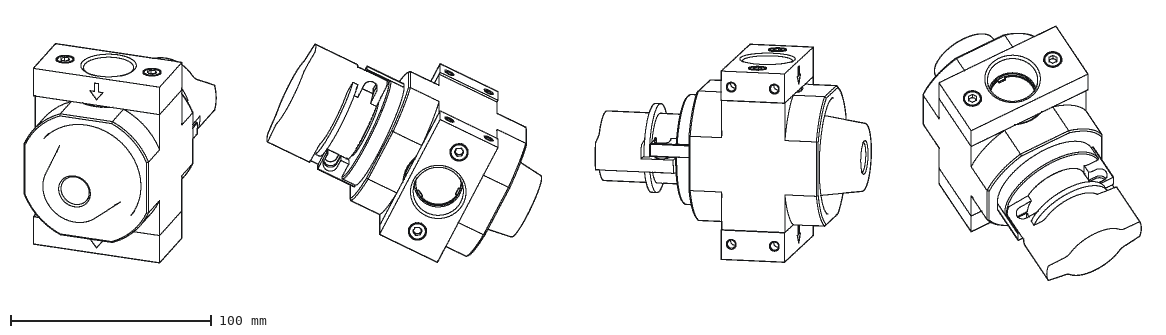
import cadquery as cq
import math


BODY_SIZE = 66.0
HALF_BODY = BODY_SIZE / 2
BODY_DIA = 71.6
BODY_CHAMFER = 0.8
BLOCK_WIDTH = 32.3
FLOW_DIA = 22.5

RECESS_DIA = 58.0
RECESS_DEPTH = 15.0
RECESS_MOUTH_FILLET = 1.0
RECESS_FLOOR_FILLET = 0.7
NOSE_TIP_Y = -49.5
NOSE_TIP_DIA = 34.0
NOSE_BASE_DIA = 42.7
NOSE_TIP_FILLET = 0.8
NOSE_FOOT_FILLET = 1.0
NOSE_HOLE_DIA = 15.0
NOSE_HOLE_DEPTH = 26.5
NOSE_HOLE_CHAMFER = 0.9

SEAT_DIA = 34.0
SEAT_DEPTH = 1.0
SEAT_CHAMFER = 0.7
TAB_COUNT = 3
TAB_WIDTH = 3.6
TAB_INNER_RADIUS = 10.5
TAB_HEIGHT = 1.3
TAB_FIRST_ANGLE = 30
TAB_ROOT_OVERLAP = 1.3

FLANGE_HEIGHT = 15.0
FLANGE_OVERHANG = 1.0
FLANGE_LENGTH = BODY_SIZE + FLANGE_OVERHANG
FLANGE_CENTRE_X = -FLANGE_OVERHANG / 2
FLANGE_TOP = HALF_BODY + FLANGE_HEIGHT
PORT_MOUTH_DIA = 27.7
PORT_TOP_DIA = 25.0
PORT_BOTTOM_DIA = 23.9
PORT_CHAMFER_DEPTH = 1.0
PORT_DEPTH = 13.5
SIDE_HOLE_DIA = 4.1
SIDE_HOLE_MOUTH_DIA = 5.0
SIDE_HOLE_DEPTH = 8.0
SIDE_HOLE_Y = 11.0
SIDE_HOLE_DROP = 8.0
DRILL_POINT_ANGLE = 118

ARROW_LENGTH = 8.9
ARROW_HEAD_LENGTH = 4.4
ARROW_HEAD_HALF_WIDTH = 3.5
ARROW_SHAFT_HALF_WIDTH = 1.13
ARROW_DEPTH = 0.1
ARROW_Z = 40.5

SCREW_X = 23.1
SCREW_DIA = 5.0
SCREW_CLEARANCE_DIA = 5.3
SCREW_DEPTH_IN_HOUSING = 10.6
COUNTERBORE_DIA = 9.0
HEAD_DIA = 8.5
HEAD_FACE_DIA = 8.0
HEAD_HEIGHT = 5.0
KNURL_TEETH = 36
KNURL_DEPTH = 0.2
SOCKET_FLATS = 4.0
SOCKET_DEPTH = 2.7

COLLAR_DIA = 55.0
COLLAR_TOP_Y = 41.0
COLLAR_CHAMFER = 0.7
ARM_END_Y = 53.5
ARM_INNER_X = 17.8
ARM_LOW_Z = 1.3
ARM_HIGH_Z = 8.1
ARM_EDGE_CHAMFER = 0.4
ARM_RIB_START_X = 20.5
ARM_RIB_HIGH_Z = 9.0
ARM_SLOT_WIDTH = 7.3
ARM_SLOT_END_X = 25.7
LOCK_Y = 49.0

KNOB_BOTTOM_Y = 42.2
KNOB_TOP_Y = 83.1
KNOB_DIA = 34.9
KNOB_DOME_RADIUS = 344.7
NECK_DIA = 30.0
WING_TIP_RADIUS = 27.2
WING_ROOT_HALF = 8.2
WING_ROOT_X = 17.4
WING_TIP_HALF = 6.8
WING_EDGE_FILLET = 0.5
WING_ROOT_FILLET = 4.0
WING_SLOT_WIDTH = 7.0
WING_SLOT_END_X = 25.3
RIM_DIA = 44.5
RIM_LOW_Y = 55.4
RIM_HIGH_Y = 58.2
RIM_CROWN_Y = 58.6


def y_cylinder(diameter, y_low, y_high):
    """Cylinder on the valve axis between two Y positions."""
    plane = cq.Workplane("XZ", origin=(0, y_high, 0))
    return plane.circle(diameter / 2).extrude(y_high - y_low)


def y_cone(low_diameter, high_diameter, y_low, y_high):
    """Cone frustum on the valve axis between two Y positions."""
    height = y_high - y_low
    base, axis = cq.Vector(0, y_low, 0), cq.Vector(0, 1, 0)
    return cq.Workplane(cq.Solid.makeCone(low_diameter / 2, high_diameter / 2, height, base, axis))


def z_cylinder(diameter, z_low, z_high, x=0):
    """Cylinder parallel to the flow axis between two Z positions."""
    plane = cq.Workplane("XY", origin=(x, 0, z_low))
    return plane.circle(diameter / 2).extrude(z_high - z_low)


def z_cone(low_diameter, high_diameter, z_low, z_high, x=0):
    """Cone frustum parallel to the flow axis between two Z positions."""
    height = z_high - z_low
    base, axis = cq.Vector(x, 0, z_low), cq.Vector(0, 0, 1)
    return cq.Workplane(cq.Solid.makeCone(low_diameter / 2, high_diameter / 2, height, base, axis))


def mirrored_down(body):
    return body.mirror("XY")


def turned_half(body):
    return body.rotate((0, 0, 0), (0, 1, 0), 180)


def make_nose():
    """Tapered nose with a rounded tip, standing on the recess floor."""
    floor_y = -HALF_BODY + RECESS_DEPTH
    nose = y_cone(NOSE_TIP_DIA, NOSE_BASE_DIA, NOSE_TIP_Y, floor_y)
    return nose.faces("<Y").edges().fillet(NOSE_TIP_FILLET)


def make_port_seat():
    """Chamfered shallow seat in the top flat of the housing."""
    floor_z = HALF_BODY - SEAT_DEPTH
    seat = z_cylinder(SEAT_DIA, floor_z, HALF_BODY)
    mouth_dia = SEAT_DIA + 2 * SEAT_CHAMFER
    return seat.union(z_cone(SEAT_DIA, mouth_dia, HALF_BODY - SEAT_CHAMFER, HALF_BODY))


def make_tabs():
    """Tabs on the wall of the flow bore, level with the seat floor."""
    top_z = HALF_BODY - SEAT_DEPTH
    length = FLOW_DIA / 2 - TAB_INNER_RADIUS + TAB_ROOT_OVERLAP
    centre = TAB_INNER_RADIUS + length / 2
    tabs = (
        cq.Workplane("XY", origin=(0, 0, top_z - TAB_HEIGHT))
        .polarArray(centre, TAB_FIRST_ANGLE, 360, TAB_COUNT)
        .rect(length, TAB_WIDTH)
        .extrude(TAB_HEIGHT)
    )
    return tabs


def make_housing():
    end = cq.Workplane("XZ", origin=(0, HALF_BODY, 0))
    flats = end.rect(BODY_SIZE, BODY_SIZE).extrude(BODY_SIZE)
    barrel = y_cylinder(BODY_DIA, -HALF_BODY, HALF_BODY).intersect(flats)
    barrel = barrel.faces("<Y or >Y").chamfer(BODY_CHAMFER)
    housing = barrel.union(cq.Workplane("XY").box(BODY_SIZE, BLOCK_WIDTH, BODY_SIZE))

    floor_y = -HALF_BODY + RECESS_DEPTH
    recess = y_cylinder(RECESS_DIA, -HALF_BODY, floor_y)
    recess = recess.faces(">Y").edges().fillet(RECESS_FLOOR_FILLET)
    smallest_circle = cq.selectors.RadiusNthSelector(0)
    housing = housing.cut(recess)
    housing = housing.faces("<Y").edges(smallest_circle).fillet(RECESS_MOUTH_FILLET)
    housing = housing.union(make_nose())
    floor_circles = cq.selectors.BoxSelector((-1.3, floor_y - 0.1, -1.3), (1.3, floor_y + 0.1, 1.3))
    housing = housing.edges(floor_circles).edges(smallest_circle).fillet(NOSE_FOOT_FILLET)

    hole_end = NOSE_TIP_Y + NOSE_HOLE_DEPTH
    hole_mouth = NOSE_HOLE_DIA + 2 * NOSE_HOLE_CHAMFER
    housing = housing.cut(y_cylinder(NOSE_HOLE_DIA, NOSE_TIP_Y, hole_end))
    housing = housing.cut(y_cone(hole_mouth, NOSE_HOLE_DIA, NOSE_TIP_Y, NOSE_TIP_Y + NOSE_HOLE_CHAMFER))

    housing = housing.cut(z_cylinder(FLOW_DIA, -HALF_BODY, HALF_BODY))
    seat = make_port_seat()
    tabs = make_tabs()
    housing = housing.cut(seat).cut(mirrored_down(seat))
    housing = housing.union(tabs).union(mirrored_down(tabs))
    for x in (-SCREW_X, SCREW_X):
        thread = z_cylinder(SCREW_DIA, HALF_BODY - SCREW_DEPTH_IN_HOUSING, HALF_BODY, x)
        housing = housing.cut(thread).cut(mirrored_down(thread))
    return housing


def make_side_hole(y):
    """Drilled hole with a countersunk mouth in the -X end of the upper flange."""
    x = FLANGE_CENTRE_X - FLANGE_LENGTH / 2
    radius = SIDE_HOLE_DIA / 2
    mouth_radius = SIDE_HOLE_MOUTH_DIA / 2
    point_depth = radius / math.tan(math.radians(DRILL_POINT_ANGLE / 2))
    profile = (
        cq.Workplane("XY")
        .moveTo(0, 0)
        .lineTo(0, mouth_radius)
        .lineTo(mouth_radius - radius, radius)
        .lineTo(SIDE_HOLE_DEPTH, radius)
        .lineTo(SIDE_HOLE_DEPTH + point_depth, 0)
        .close()
    )
    hole = profile.revolve(360, (0, 0, 0), (1, 0, 0))
    return hole.translate((x, y, FLANGE_TOP - SIDE_HOLE_DROP))


def make_arrow(centre_z):
    """Downward arrow cutter in the -Y flange face."""
    tail = ARROW_LENGTH / 2
    shoulder = ARROW_HEAD_LENGTH - tail
    plane = cq.Workplane("XZ", origin=(FLANGE_CENTRE_X, -BLOCK_WIDTH / 2, centre_z))
    outline = [
        (0, -tail),
        (ARROW_HEAD_HALF_WIDTH, shoulder),
        (ARROW_SHAFT_HALF_WIDTH, shoulder),
        (ARROW_SHAFT_HALF_WIDTH, tail),
        (-ARROW_SHAFT_HALF_WIDTH, tail),
        (-ARROW_SHAFT_HALF_WIDTH, shoulder),
        (-ARROW_HEAD_HALF_WIDTH, shoulder),
    ]
    return plane.polyline(outline).close().extrude(-ARROW_DEPTH)


def make_flange():
    """Upper port flange, without its arrow."""
    flange = cq.Workplane("XY", origin=(FLANGE_CENTRE_X, 0, HALF_BODY + FLANGE_HEIGHT / 2))
    flange = flange.box(FLANGE_LENGTH, BLOCK_WIDTH, FLANGE_HEIGHT)

    port_top = FLANGE_TOP - PORT_CHAMFER_DEPTH
    flange = flange.cut(z_cylinder(FLOW_DIA, HALF_BODY, FLANGE_TOP))
    flange = flange.cut(z_cone(PORT_BOTTOM_DIA, PORT_TOP_DIA, FLANGE_TOP - PORT_DEPTH, port_top))
    flange = flange.cut(z_cone(PORT_TOP_DIA, PORT_MOUTH_DIA, port_top, FLANGE_TOP))

    for x in (-SCREW_X, SCREW_X):
        flange = flange.cut(z_cylinder(SCREW_CLEARANCE_DIA, HALF_BODY, FLANGE_TOP, x))
        flange = flange.cut(z_cylinder(COUNTERBORE_DIA, FLANGE_TOP - HEAD_HEIGHT, FLANGE_TOP, x))
    for y in (-SIDE_HOLE_Y, SIDE_HOLE_Y):
        flange = flange.cut(make_side_hole(y))
    return flange


def make_screw(x):
    """Knurled socket head screw of the upper flange, its head flush with the flange."""
    seat_z = FLANGE_TOP - HEAD_HEIGHT
    outline = []
    for i in range(2 * KNURL_TEETH):
        radius = HEAD_DIA / 2 - KNURL_DEPTH * (i % 2)
        angle = math.pi * i / KNURL_TEETH
        outline.append((radius * math.cos(angle), radius * math.sin(angle)))
    head = cq.Workplane("XY", origin=(x, 0, seat_z)).polyline(outline).close().extrude(HEAD_HEIGHT)
    bevel = (HEAD_DIA - HEAD_FACE_DIA) / 2
    blank = z_cylinder(HEAD_DIA, seat_z, FLANGE_TOP, x).faces(">Z").chamfer(bevel)
    head = head.intersect(blank)

    socket_floor = FLANGE_TOP - SOCKET_DEPTH
    socket = cq.Workplane("XY", origin=(x, 0, socket_floor))
    socket_corners = SOCKET_FLATS / math.cos(math.pi / 6)
    socket = socket.polygon(6, socket_corners).extrude(SOCKET_DEPTH)
    point_depth = SOCKET_FLATS / 2 / math.tan(math.radians(DRILL_POINT_ANGLE / 2))
    point = z_cone(0, SOCKET_FLATS, socket_floor - point_depth, socket_floor, x)
    shank = z_cylinder(SCREW_DIA, HALF_BODY - SCREW_DEPTH_IN_HOUSING, seat_z, x)
    return head.union(shank).cut(socket).cut(point)


def make_lock_slot(width, end_x):
    """Round-ended slot cutter on the -X side, open towards the valve axis."""
    centre_x = end_x - width / 2
    plane = cq.Workplane("XY", origin=(0, LOCK_Y, -COLLAR_DIA / 2))
    round_end = plane.center(-centre_x, 0).circle(width / 2).extrude(COLLAR_DIA)
    return plane.center(-centre_x / 2, 0).rect(centre_x, width).extrude(COLLAR_DIA).union(round_end)


def make_arm():
    """Slotted arm of the collar on the -X side, with a rounded rib along its inner edge."""
    outer_x = COLLAR_DIA / 2
    rib_run = ARM_RIB_START_X - ARM_INNER_X
    rib_rise = ARM_RIB_HIGH_Z - ARM_HIGH_Z
    rib_radius = (rib_run**2 + rib_rise**2) / (2 * rib_rise)
    arm = (
        cq.Workplane("XZ", origin=(0, ARM_END_Y, 0))
        .moveTo(-ARM_INNER_X, ARM_LOW_Z)
        .lineTo(-outer_x, ARM_LOW_Z)
        .lineTo(-outer_x, ARM_HIGH_Z)
        .lineTo(-ARM_RIB_START_X, ARM_HIGH_Z)
        .radiusArc((-ARM_INNER_X, ARM_RIB_HIGH_Z), -rib_radius)
        .close()
        .extrude(ARM_END_Y - HALF_BODY)
    )
    arm = arm.faces("<X").edges("|Y").chamfer(ARM_EDGE_CHAMFER)
    return arm.cut(make_lock_slot(ARM_SLOT_WIDTH, ARM_SLOT_END_X))


def make_collar():
    collar = y_cylinder(COLLAR_DIA, HALF_BODY, COLLAR_TOP_Y).faces(">Y").chamfer(COLLAR_CHAMFER)
    arm = make_arm()
    collar = collar.union(arm).union(turned_half(arm))
    return collar.cut(y_cylinder(NECK_DIA, HALF_BODY, COLLAR_TOP_Y))


def make_wings():
    """Wings tapering from the root to a rounded tip, over the full knob height."""
    slope = (WING_ROOT_HALF - WING_TIP_HALF) / (WING_TIP_RADIUS - WING_ROOT_X)
    axis_half = WING_ROOT_HALF + slope * WING_ROOT_X
    outline = [
        (WING_TIP_RADIUS, WING_TIP_HALF),
        (0, axis_half),
        (-WING_TIP_RADIUS, WING_TIP_HALF),
        (-WING_TIP_RADIUS, -WING_TIP_HALF),
        (0, -axis_half),
        (WING_TIP_RADIUS, -WING_TIP_HALF),
    ]
    plane = cq.Workplane("XZ", origin=(0, KNOB_TOP_Y, 0))
    wings = plane.polyline(outline).close().extrude(KNOB_TOP_Y - KNOB_BOTTOM_Y)
    wings = wings.intersect(y_cylinder(2 * WING_TIP_RADIUS, KNOB_BOTTOM_Y, KNOB_TOP_Y))
    ridge = cq.selectors.BoxSelector((-1.3, 0, -RIM_DIA), (1.3, KNOB_TOP_Y, RIM_DIA))
    along_axis = cq.selectors.ParallelDirSelector(cq.Vector(0, 1, 0))
    return wings.edges(along_axis - ridge).fillet(WING_EDGE_FILLET)


def make_dome():
    """Slightly domed envelope of the knob end."""
    edge_y = KNOB_TOP_Y - KNOB_DOME_RADIUS + math.sqrt(KNOB_DOME_RADIUS**2 - COLLAR_DIA**2)
    profile = (
        cq.Workplane("XY")
        .moveTo(0, 0)
        .lineTo(0, KNOB_TOP_Y)
        .radiusArc((COLLAR_DIA, edge_y), KNOB_DOME_RADIUS)
        .lineTo(COLLAR_DIA, 0)
        .close()
    )
    return profile.revolve(360, (0, 0, 0), (0, 1, 0))


def make_grip():
    """Upper part of the knob, where fillets blend the wings into the round body."""
    above = cq.Workplane("XZ", origin=(0, KNOB_TOP_Y, 0))
    above = above.rect(2 * COLLAR_DIA, 2 * COLLAR_DIA).extrude(KNOB_TOP_Y - RIM_HIGH_Y)
    wings = make_wings().intersect(above)
    grip = wings.union(y_cylinder(KNOB_DIA, RIM_HIGH_Y, KNOB_TOP_Y))
    root = cq.selectors.BoxSelector(
        (-WING_ROOT_X, 0, -KNOB_DIA / 2), (WING_ROOT_X, KNOB_TOP_Y, KNOB_DIA / 2)
    )
    grip = grip.edges("|Y").edges(root).fillet(WING_ROOT_FILLET)
    return grip.intersect(make_dome())


def make_arm_notch():
    """Space for the arm on the -X side, above the mid-plane."""
    height = RIM_CROWN_Y - KNOB_BOTTOM_Y
    plane = cq.Workplane("XY", origin=(0, KNOB_BOTTOM_Y, 0))
    notch = plane.rect(COLLAR_DIA, height, centered=False).extrude(COLLAR_DIA)
    return notch.mirror("YZ")


def make_knob():
    lower_box = cq.Workplane("XZ", origin=(0, RIM_CROWN_Y, 0))
    lower_box = lower_box.rect(2 * COLLAR_DIA, 2 * COLLAR_DIA).extrude(RIM_CROWN_Y - KNOB_BOTTOM_Y)
    notch = make_arm_notch()
    slot = make_lock_slot(WING_SLOT_WIDTH, WING_SLOT_END_X)
    lower_wings = make_wings().intersect(lower_box)
    for cutter in (notch, slot):
        lower_wings = lower_wings.cut(cutter).cut(turned_half(cutter))

    grip = make_grip().cut(notch).cut(turned_half(notch))
    knob = y_cylinder(KNOB_DIA, KNOB_BOTTOM_Y, RIM_CROWN_Y)
    knob = knob.union(y_cylinder(RIM_DIA, RIM_LOW_Y, RIM_HIGH_Y))
    knob = knob.union(y_cone(RIM_DIA, KNOB_DIA, RIM_HIGH_Y, RIM_CROWN_Y))
    knob = knob.union(lower_wings).union(grip)
    return knob.union(y_cylinder(NECK_DIA, HALF_BODY, KNOB_BOTTOM_Y))


housing = make_housing()
collar = make_collar()
knob = make_knob()

upper_flange = make_flange()
lower_flange = mirrored_down(upper_flange).cut(make_arrow(-ARROW_Z))
upper_flange = upper_flange.cut(make_arrow(ARROW_Z))

screws = []
for screw_x in (-SCREW_X, SCREW_X):
    upper_screw = make_screw(screw_x)
    screws.append(upper_screw.val())
    screws.append(mirrored_down(upper_screw).val())

result = cq.Compound.makeCompound(
    [housing.val(), collar.val(), knob.val(), upper_flange.val(), lower_flange.val(), *screws]
)